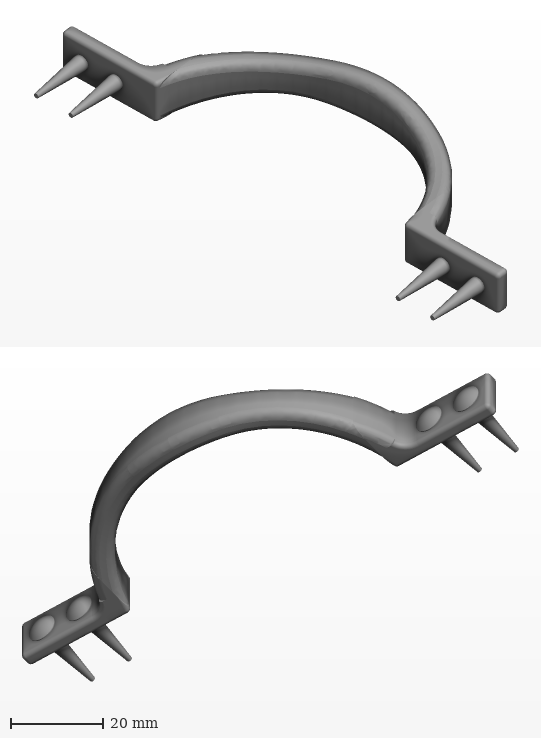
import cadquery as cq
import math

LENGTH = 126.0
WIDTH = 11.2
PLATE_THICKNESS = 3.5
RISE = 35.3
INNER_RADIUS = 36.3
BAND_THICKNESS = 5.5
OUTER_RADIUS = INNER_RADIUS + BAND_THICKNESS
ARC_CENTRE_Y = RISE - OUTER_RADIUS
NECK_RADIUS = 4.0

FOOT_ROUND = 1.0
BAND_ROUND = 2.0

CROWN_HALF_LENGTH = 11.8
CROWN_DROP = 0.6
HOLLOW_CENTRE_X = 21.3

SCREW_INNER_X = 47.1
SCREW_OUTER_X = 57.1
SHANK_DIAMETER = 3.9
COLLAR_LENGTH = 0.8
POINT_LENGTH = 14.2
TIP_DIAMETER = 1.3
HEAD_DIAMETER = 6.8
HEAD_RIM = 0.3
DOME_HEIGHT = 1.3

HALF_WIDTH = WIDTH / 2
CROWN_RADIUS = (CROWN_HALF_LENGTH**2 + CROWN_DROP**2) / (2 * CROWN_DROP)
CROWN_END_ANGLE = math.asin(CROWN_HALF_LENGTH / CROWN_RADIUS)
HOLLOW_RADIUS = (HOLLOW_CENTRE_X - CROWN_HALF_LENGTH) / math.sin(CROWN_END_ANGLE)
HOLLOW_CENTRE_Z = HALF_WIDTH - CROWN_DROP + HOLLOW_RADIUS * math.cos(CROWN_END_ANGLE)

FOOT_START_X = HOLLOW_CENTRE_X + math.sqrt(HOLLOW_RADIUS**2 - (HOLLOW_CENTRE_Z - HALF_WIDTH) ** 2)


def band_x(radius, y):
    """Distance from the middle of the handle to a circle of the band at height y."""
    return math.sqrt(radius**2 - (y - ARC_CENTRE_Y) ** 2)


def crown_z(x):
    return HALF_WIDTH - CROWN_RADIUS + math.sqrt(CROWN_RADIUS**2 - x**2)


def hollow_z(x):
    return HOLLOW_CENTRE_Z - math.sqrt(HOLLOW_RADIUS**2 - (x - HOLLOW_CENTRE_X) ** 2)


def middle_box():
    """Block that takes in everything between the two feet."""
    return cq.Workplane("XY").box(2 * FOOT_START_X, 4 * RISE, 2 * WIDTH)


def make_gusset_round():
    """Waste that gives the outer edges of the gussets the same round as the band, down to the neck."""
    neck_centre_y = PLATE_THICKNESS + NECK_RADIUS - ARC_CENTRE_Y
    neck_end_y = ARC_CENTRE_Y + neck_centre_y * OUTER_RADIUS / (OUTER_RADIUS + NECK_RADIUS)
    round_centre_r = OUTER_RADIUS - BAND_ROUND
    round_centre_z = HALF_WIDTH - BAND_ROUND
    mid = BAND_ROUND * math.sqrt(0.5)
    waste = (
        cq.Workplane("XZ")
        .moveTo(round_centre_r, HALF_WIDTH)
        .threePointArc((round_centre_r + mid, round_centre_z + mid), (OUTER_RADIUS, round_centre_z))
        .lineTo(OUTER_RADIUS + BAND_ROUND, round_centre_z)
        .lineTo(OUTER_RADIUS + BAND_ROUND, WIDTH)
        .lineTo(round_centre_r, WIDTH)
        .close()
        .revolve(360, (0, 0), (0, 1))
        .translate((0, ARC_CENTRE_Y, 0))
    )
    below_neck = cq.Workplane("XY").box(4 * RISE, 4 * RISE, 4 * WIDTH)
    waste = waste.cut(below_neck.translate((0, neck_end_y - 2 * RISE, 0)))
    return waste.union(waste.mirror("XY"))


def make_feet():
    """Both feet with their gussets, cut from a full-width handle with rounded edges."""
    end_x = LENGTH / 2
    inner_x = band_x(INNER_RADIUS, 0)
    outer_x = band_x(OUTER_RADIUS, PLATE_THICKNESS)
    bar = (
        cq.Workplane("XY")
        .workplane(offset=-HALF_WIDTH)
        .moveTo(-end_x, 0)
        .lineTo(-inner_x, 0)
        .threePointArc((0, RISE - BAND_THICKNESS), (inner_x, 0))
        .lineTo(end_x, 0)
        .lineTo(end_x, PLATE_THICKNESS)
        .lineTo(outer_x, PLATE_THICKNESS)
        .threePointArc((0, RISE), (-outer_x, PLATE_THICKNESS))
        .lineTo(-end_x, PLATE_THICKNESS)
        .close()
        .extrude(WIDTH)
    )
    for side in (-1, 1):
        neck = cq.selectors.NearestToPointSelector((side * outer_x, PLATE_THICKNESS, 0))
        bar = bar.edges("|Z").edges(neck).fillet(NECK_RADIUS)
    wall_corners = bar.faces("<Y").edges("|Z").vals()
    end_corners = bar.faces("<X or >X").edges("|Z").edges(">Y").vals()
    bar = bar.newObject(wall_corners + end_corners).fillet(FOOT_ROUND)
    bar = bar.faces("<Z or >Z").edges().fillet(FOOT_ROUND)
    return bar.cut(middle_box()).cut(make_gusset_round())


def make_band():
    """Bow between the feet, waisted in width and with large rounded edges."""
    reach_x = band_x(OUTER_RADIUS, 0)
    hollow_low = (HOLLOW_CENTRE_X, hollow_z(HOLLOW_CENTRE_X))
    crown_end = (CROWN_HALF_LENGTH, crown_z(CROWN_HALF_LENGTH))
    crown_mid = (CROWN_HALF_LENGTH / 2, crown_z(CROWN_HALF_LENGTH / 2))
    waist_quarter = (
        cq.Workplane("XZ")
        .moveTo(0, 0)
        .lineTo(0, HALF_WIDTH)
        .threePointArc(crown_mid, crown_end)
        .threePointArc(hollow_low, (reach_x, hollow_z(reach_x)))
        .lineTo(reach_x, 0)
        .close()
        .extrude(-RISE)
    )
    waist_half = waist_quarter.union(waist_quarter.mirror("XY"))
    waist = waist_half.union(waist_half.mirror("YZ"), clean=False)
    ring = (
        cq.Workplane("XY")
        .center(0, ARC_CENTRE_Y)
        .circle(OUTER_RADIUS)
        .circle(INNER_RADIUS)
        .extrude(WIDTH, both=True)
    )
    band = ring.intersect(waist, clean=False)
    band = band.edges("%BSPLINE").fillet(BAND_ROUND)
    return band.intersect(middle_box(), clean=False)


def make_handle(screw_places):
    """Feet and band joined into one body, with a screw hole at each place along X."""
    handle = make_feet().union(make_band(), clean=False)
    holes = (
        cq.Workplane("XZ")
        .pushPoints([(x, 0) for x in screw_places])
        .circle(SHANK_DIAMETER / 2)
        .extrude(-PLATE_THICKNESS)
    )
    return handle.cut(holes, clean=False)


def make_screw(x):
    """Screw along Y: low domed head, plain shank, and a tapered point beyond the wall face."""
    shank = SHANK_DIAMETER / 2
    head = HEAD_DIAMETER / 2
    dome_radius = (head**2 + DOME_HEIGHT**2) / (2 * DOME_HEIGHT)
    rim_y = PLATE_THICKNESS + HEAD_RIM
    crown_y = rim_y + DOME_HEIGHT
    mid_r = head / 2
    mid_y = crown_y - dome_radius + math.sqrt(dome_radius**2 - mid_r**2)
    tip_y = -COLLAR_LENGTH - POINT_LENGTH
    return (
        cq.Workplane("XY")
        .moveTo(0, tip_y)
        .lineTo(TIP_DIAMETER / 2, tip_y)
        .lineTo(shank, -COLLAR_LENGTH)
        .lineTo(shank, PLATE_THICKNESS)
        .lineTo(head, PLATE_THICKNESS)
        .lineTo(head, rim_y)
        .threePointArc((mid_r, mid_y), (0, crown_y))
        .close()
        .revolve(360, (0, 0), (0, 1))
        .translate((x, 0, 0))
    )


screw_places = (-SCREW_OUTER_X, -SCREW_INNER_X, SCREW_INNER_X, SCREW_OUTER_X)
handle = make_handle(screw_places)
screws = [make_screw(x).val() for x in screw_places]

result = cq.Compound.makeCompound([*handle.vals(), *screws])